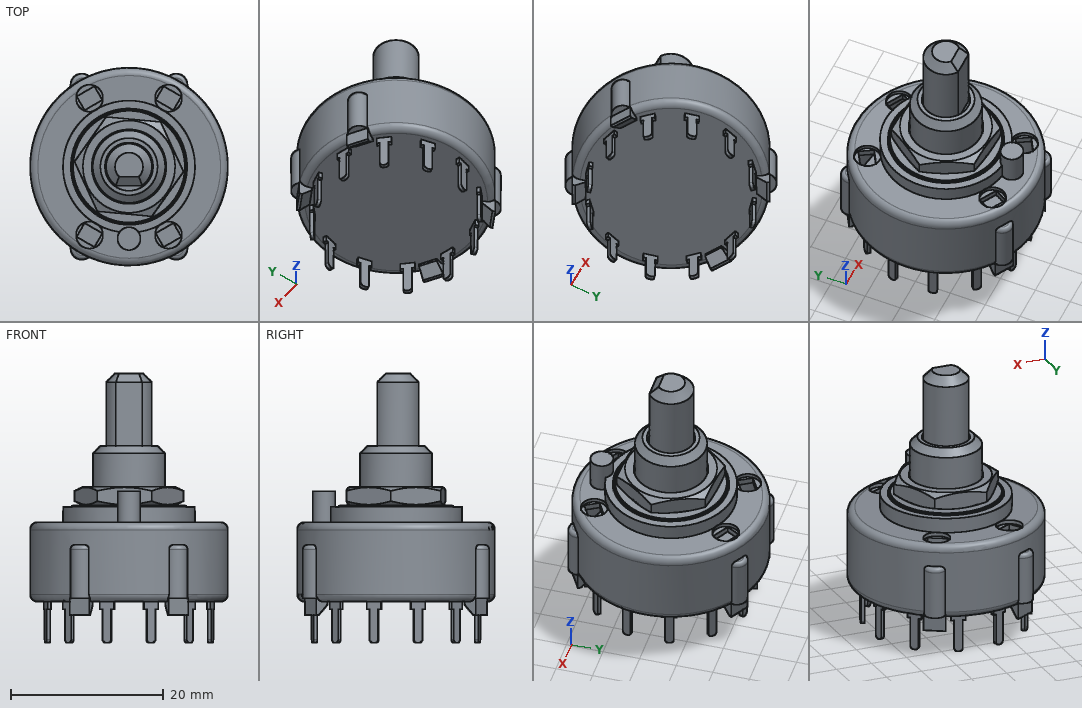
import cadquery as cq
import math

pin_tip_z = 0.0
foot_bottom_z = 3.65
shoulder_bottom_z = 4.42
body_bottom_z = 5.4
rib_bottom_z = 5.85
rib_top_z = 12.9
body_top_z = 15.85
flange_top_z = 17.88
washer_top_z = 18.1
nut_top_z = 20.5
post_top_z = 19.93
bushing_top_z = 25.88
shaft_top_z = 35.4

body_diameter = 26.0
body_fillet = 1.0
cavity_diameter = 24.0
floor_thickness = 1.0
ceiling_thickness = 1.35

flange_diameter = 17.35
recess_diameter = 15.3
washer_diameter = 15.0
washer_face_diameter = 14.65
washer_step = 0.07
recess_depth = 0.53

nut_sides = 6
nut_corner_diameter = 14.37
nut_turn = -5.3
nut_face_diameter = 12.1
nut_chamfer_height = 0.53
nut_bore_diameter = 9.8
nut_gap_depth = 0.7

bushing_diameter = 9.5
bushing_chamfer = 1.0
bushing_bore_diameter = 6.35
bushing_gap_depth = 1.0
shaft_diameter = 6.02
shaft_chamfer = 1.17
shaft_flat_offset = 2.48

post_diameter = 3.0
post_offset = 9.45

clip_angle = 60
pocket_diameter = 3.55
pocket_radius = 10.37
pocket_depth = 0.53
window_width = 2.7
window_length = 2.1
rib_diameter = 2.97
rib_radius = 12.4
rib_fillet = 0.55
foot_width = 2.97
foot_outer_radius = 12.95
foot_tip_thickness = 0.4
foot_root_thickness = 1.75
foot_side_draft = 15
foot_slant_top_z = 5.03

pin_count = 12
pin_radius = 11.08
pin_width = 1.17
pin_thickness = 0.5
pin_tip_fillet = 0.5
shoulder_width = 1.95
pin_root_depth = 0.35


def disc(diameter, bottom_z, top_z):
    """Upright cylinder on the part axis."""
    return cq.Workplane("XY").workplane(offset=bottom_z).circle(diameter / 2).extrude(top_z - bottom_z)


def turn(shape, angle):
    """Turn a shape about the part axis."""
    return shape.rotate((0, 0, 0), (0, 0, 1), angle)


def make_body():
    body = disc(body_diameter, body_bottom_z, body_top_z)
    return body.faces("<Z or >Z").edges().fillet(body_fillet)


def make_cavity():
    return disc(cavity_diameter, body_bottom_z + floor_thickness, body_top_z - ceiling_thickness)


def make_flange():
    flange = disc(flange_diameter, body_top_z, flange_top_z)
    floor_z = flange_top_z - recess_depth
    flange = flange.cut(disc(recess_diameter, floor_z, flange_top_z))
    washer = disc(washer_diameter, floor_z, washer_top_z - washer_step)
    washer = washer.union(disc(washer_face_diameter, floor_z, washer_top_z))
    return flange.union(washer)


def make_nut():
    height = nut_top_z - washer_top_z
    hexagon = (
        cq.Workplane("XY")
        .workplane(offset=washer_top_z)
        .polygon(nut_sides, nut_corner_diameter)
        .extrude(height)
    )
    face_radius = nut_face_diameter / 2
    corner_radius = nut_corner_diameter / 2
    trim = (
        cq.Workplane("XZ")
        .moveTo(0, washer_top_z)
        .lineTo(face_radius, washer_top_z)
        .lineTo(corner_radius, washer_top_z + nut_chamfer_height)
        .lineTo(corner_radius, nut_top_z - nut_chamfer_height)
        .lineTo(face_radius, nut_top_z)
        .lineTo(0, nut_top_z)
        .close()
        .revolve(360, (0, 0, 0), (0, 1, 0))
    )
    nut = turn(hexagon.intersect(trim), nut_turn)
    return nut.cut(disc(nut_bore_diameter, nut_top_z - nut_gap_depth, nut_top_z))


def make_bushing():
    bushing = disc(bushing_diameter, washer_top_z, bushing_top_z).faces(">Z").chamfer(bushing_chamfer)
    return bushing.cut(disc(bushing_bore_diameter, bushing_top_z - bushing_gap_depth, bushing_top_z))


def make_shaft():
    bottom_z = bushing_top_z - bushing_gap_depth
    shaft = disc(shaft_diameter, bottom_z, shaft_top_z).faces(">Z").chamfer(shaft_chamfer)
    flat_cutter = (
        cq.Workplane("YZ")
        .moveTo(-shaft_flat_offset, bottom_z)
        .lineTo(-shaft_flat_offset, shaft_top_z - shaft_chamfer)
        .lineTo(-shaft_flat_offset + shaft_chamfer, shaft_top_z)
        .lineTo(-shaft_diameter, shaft_top_z)
        .lineTo(-shaft_diameter, bottom_z)
        .close()
        .extrude(shaft_diameter / 2, both=True)
    )
    return shaft.cut(flat_cutter)


def make_post():
    return disc(post_diameter, body_top_z - body_fillet, post_top_z).translate((0, -post_offset, 0))


def make_pocket():
    """Round pocket whose rectangular window opens into the cavity, on the +X side."""
    floor_z = body_top_z - pocket_depth
    pocket = disc(pocket_diameter, floor_z, body_top_z)
    window = (
        cq.Workplane("XY")
        .workplane(offset=floor_z)
        .rect(window_length, window_width)
        .extrude(pocket_depth - ceiling_thickness)
    )
    return pocket.union(window).translate((pocket_radius, 0, 0))


def make_clip():
    """Rounded rib with a wedge-shaped foot under it, on the +X side."""
    rib = disc(rib_diameter, rib_bottom_z, rib_top_z).faces(">Z").edges().fillet(rib_fillet)
    rib = rib.translate((rib_radius, 0, 0))
    root_radius = foot_outer_radius - foot_root_thickness
    root_inset = foot_root_thickness * math.tan(math.radians(foot_side_draft))
    wedge = (
        cq.Workplane("XZ")
        .moveTo(foot_outer_radius, rib_bottom_z)
        .lineTo(foot_outer_radius, foot_bottom_z)
        .lineTo(foot_outer_radius - foot_tip_thickness, foot_bottom_z)
        .lineTo(root_radius, foot_slant_top_z)
        .lineTo(root_radius, rib_bottom_z)
        .close()
        .extrude(foot_width / 2, both=True)
    )
    plan = (
        cq.Workplane("XY")
        .workplane(offset=foot_bottom_z)
        .moveTo(foot_outer_radius, foot_width / 2)
        .lineTo(root_radius, foot_width / 2 - root_inset)
        .lineTo(root_radius, -foot_width / 2)
        .lineTo(foot_outer_radius, -foot_width / 2)
        .close()
        .extrude(rib_bottom_z - foot_bottom_z)
    )
    foot = wedge.intersect(plan)
    return rib.union(foot)


def make_pin():
    """Flat pin with a wider shoulder, on the +X side."""
    blade = (
        cq.Workplane("XY")
        .workplane(offset=pin_tip_z)
        .rect(pin_thickness, pin_width)
        .extrude(shoulder_bottom_z - pin_tip_z)
        .faces("<Z")
        .edges("|X")
        .fillet(pin_tip_fillet)
    )
    shoulder = (
        cq.Workplane("XY")
        .workplane(offset=shoulder_bottom_z)
        .rect(pin_thickness, shoulder_width)
        .extrude(body_bottom_z + pin_root_depth - shoulder_bottom_z)
    )
    return blade.union(shoulder).translate((pin_radius, 0, 0))


body = make_body()
right_back_clip = turn(make_clip(), clip_angle)
right_back_pocket = turn(make_pocket(), clip_angle)
right_clips = right_back_clip.union(right_back_clip.mirror("XZ"))
right_pockets = right_back_pocket.union(right_back_pocket.mirror("XZ"))
body = body.union(right_clips).union(right_clips.mirror("YZ"))
body = body.cut(make_cavity()).cut(right_pockets).cut(right_pockets.mirror("YZ"))

result = body
for section in (make_flange(), make_nut(), make_bushing(), make_shaft(), make_post()):
    result = result.union(section)

pin_pitch = 360 / pin_count
for index in range(pin_count):
    result = result.union(turn(make_pin(), (index + 0.5) * pin_pitch))